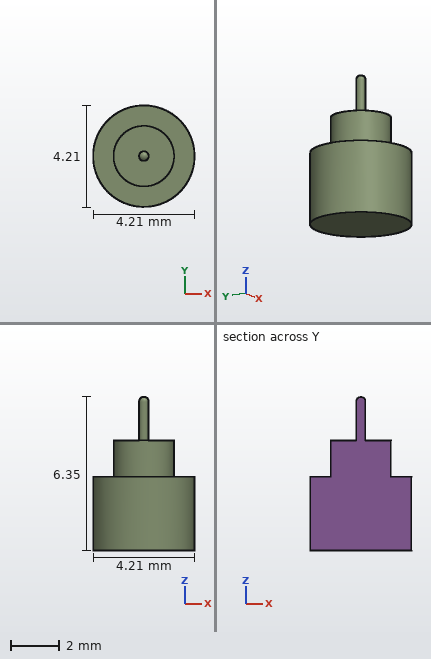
import cadquery as cq

total_height = 6.35
body_diameter = 4.205
body_height = 3.05
neck_diameter = 2.5
neck_height = 1.5
pin_diameter = 0.4
tip_radius = 0.19

pin_height = total_height - body_height - neck_height


def cylinder(diameter, height, base_z):
    """Upright cylinder on the Z axis, standing at base_z."""
    return cq.Workplane("XY").workplane(offset=base_z).circle(diameter / 2).extrude(height)


body = cylinder(body_diameter, body_height, 0)
neck = cylinder(neck_diameter, neck_height, body_height)

pin = cylinder(pin_diameter, pin_height, body_height + neck_height)
pin = pin.faces(">Z").edges().fillet(tip_radius)

result = body.union(neck).union(pin)